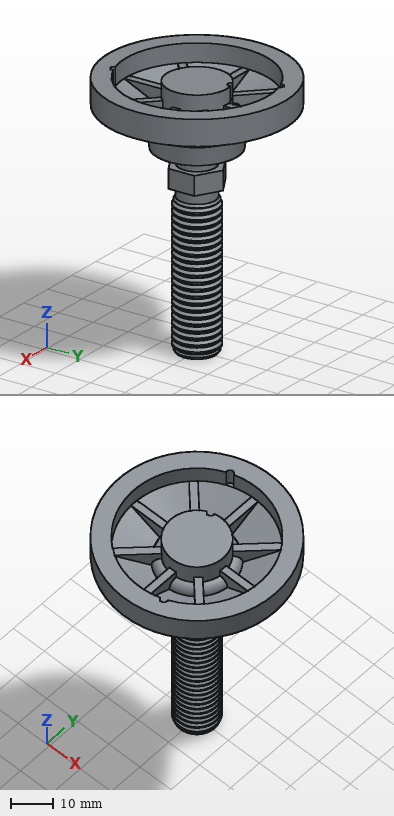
import cadquery as cq
import math


TOP_Z = 70.6
RIM_RADIUS = 50.5 / 2
RIM_HEIGHT = 7.0
CONE_DEPTH = 13.05
PAD_DEPTH = 17.9
COLLAR_TOP_RADIUS = 11.9
COLLAR_BOTTOM_RADIUS = 11.4

WALL_RADIUS = 20.25
WALL_DEPTH = 5.0
SHOULDER_RADIUS = 10.9
SHOULDER_FOOT_DEPTH = 9.3
HUB_RADIUS = 8.5
HUB_DROP = 1.0
RIB_COUNT = 8
RIB_WIDTH = 2.1

NOTCH_RADIUS = 1.0
NOTCH_ANGLE = 110.0

STEM_RADIUS = 5.15
NECK_RADIUS = 5.1
NECK_TOP_RADIUS = 5.8
FLARE_HEIGHT = 0.85
HEX_ACROSS_FLATS = 13.0
HEX_HEIGHT = 5.2
HEX_BOTTOM_Z = 43.15
THREAD_LENGTH = 39.95
CREST_RADIUS = 6.0
CREST_WIDTH = 0.4
END_ROOT_OFFSET = 1.1
THREAD_TURNS = 21
END_EDGE_RADIUS = 5.65
END_EDGE_OFFSET = 0.7

PAD_BOTTOM_Z = TOP_Z - PAD_DEPTH
WALL_BOTTOM_Z = TOP_Z - WALL_DEPTH
HUB_TOP_Z = TOP_Z - HUB_DROP
SHOULDER_FOOT_Z = TOP_Z - SHOULDER_FOOT_DEPTH
SHOULDER_ROUND = SHOULDER_RADIUS - HUB_RADIUS
PITCH = (THREAD_LENGTH - 2 * END_ROOT_OFFSET) / THREAD_TURNS
FLANK_HEIGHT = (PITCH - CREST_WIDTH) / 2


def revolve_about_z(profile):
    """Revolve a closed profile, drawn as radius and height, about the Z axis."""
    return profile.close().revolve(360, (0, 0, 0), (0, 1, 0))


def pad_blank():
    """The turned pad: flat rim, dished recess, rounded shoulder and central hub."""
    arc_start = (SHOULDER_RADIUS, SHOULDER_FOOT_Z)
    arc_end = (HUB_RADIUS, SHOULDER_FOOT_Z + SHOULDER_ROUND)
    arc_reach = SHOULDER_ROUND * math.sqrt(0.5)
    arc_middle = (HUB_RADIUS + arc_reach, SHOULDER_FOOT_Z + arc_reach)
    profile = (
        cq.Workplane("XZ")
        .moveTo(0, PAD_BOTTOM_Z)
        .lineTo(COLLAR_BOTTOM_RADIUS, PAD_BOTTOM_Z)
        .lineTo(COLLAR_TOP_RADIUS, TOP_Z - CONE_DEPTH)
        .lineTo(RIM_RADIUS, TOP_Z - RIM_HEIGHT)
        .lineTo(RIM_RADIUS, TOP_Z)
        .lineTo(WALL_RADIUS, TOP_Z)
        .lineTo(WALL_RADIUS, WALL_BOTTOM_Z)
        .lineTo(*arc_start)
        .threePointArc(arc_middle, arc_end)
        .lineTo(HUB_RADIUS, HUB_TOP_Z)
        .lineTo(0, HUB_TOP_Z)
    )
    return revolve_about_z(profile)


def rib(angle):
    """A flat-topped radial rib from the hub to the edge of the dish, rooted in the pad on its lower side."""
    bar = (
        cq.Workplane("XZ")
        .moveTo(0, SHOULDER_FOOT_Z)
        .lineTo(SHOULDER_RADIUS, SHOULDER_FOOT_Z)
        .lineTo(WALL_RADIUS + RIB_WIDTH, WALL_BOTTOM_Z)
        .lineTo(0, WALL_BOTTOM_Z)
        .close()
        .extrude(RIB_WIDTH / 2, both=True)
    )
    return bar.rotate((0, 0, 0), (0, 0, 1), angle)


def notch(radius, angle):
    """The round cutter for a notch, reaching from the top of the pad down to the tops of the ribs."""
    x = radius * math.cos(math.radians(angle))
    y = radius * math.sin(math.radians(angle))
    return cq.Workplane("XY", origin=(x, y, WALL_BOTTOM_Z)).circle(NOTCH_RADIUS).extrude(WALL_DEPTH)


def make_pad():
    pad = pad_blank()
    for index in range(RIB_COUNT):
        pad = pad.union(rib(index * 360 / RIB_COUNT))
    for angle in (NOTCH_ANGLE, NOTCH_ANGLE + 180):
        pad = pad.cut(notch(WALL_RADIUS, angle))
    return pad.cut(notch(HUB_RADIUS, NOTCH_ANGLE))


def make_stud():
    """The stud: ring-shaped thread, plain stem, hexagon and a neck flaring up to the pad."""
    profile = (
        cq.Workplane("XZ")
        .lineTo(STEM_RADIUS, 0)
        .lineTo(END_EDGE_RADIUS, END_EDGE_OFFSET)
    )
    for turn in range(THREAD_TURNS):
        root_z = END_ROOT_OFFSET + turn * PITCH
        profile = (
            profile.lineTo(STEM_RADIUS, root_z)
            .lineTo(CREST_RADIUS, root_z + FLANK_HEIGHT)
            .lineTo(CREST_RADIUS, root_z + FLANK_HEIGHT + CREST_WIDTH)
        )
    profile = (
        profile.lineTo(STEM_RADIUS, THREAD_LENGTH - END_ROOT_OFFSET)
        .lineTo(END_EDGE_RADIUS, THREAD_LENGTH - END_EDGE_OFFSET)
        .lineTo(STEM_RADIUS, THREAD_LENGTH)
        .lineTo(STEM_RADIUS, HEX_BOTTOM_Z)
        .lineTo(NECK_RADIUS, HEX_BOTTOM_Z)
        .lineTo(NECK_RADIUS, PAD_BOTTOM_Z - FLARE_HEIGHT)
        .lineTo(NECK_TOP_RADIUS, PAD_BOTTOM_Z)
        .lineTo(0, PAD_BOTTOM_Z)
    )
    hexagon = (
        cq.Workplane("XY", origin=(0, 0, HEX_BOTTOM_Z))
        .polygon(6, HEX_ACROSS_FLATS, circumscribed=True)
        .extrude(HEX_HEIGHT)
    )
    return revolve_about_z(profile).union(hexagon)


pad = make_pad()
stud = make_stud()

result = cq.Compound.makeCompound([pad.val(), stud.val()])